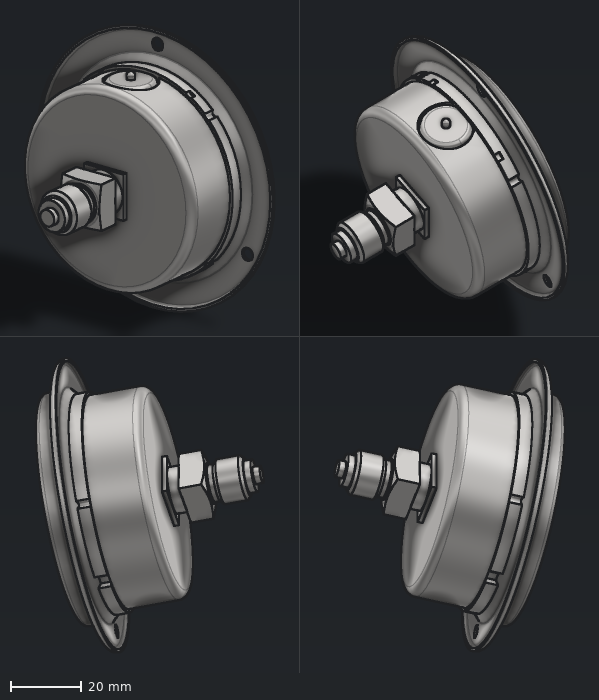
import cadquery as cq
import math


bezel_radius = 67.6 / 2
bezel_front_fillet = 1.4
bezel_rear_fillet = 0.85

flange_radius = 85 / 2
flange_front_depth = 6.4
flange_thickness = 0.85
flange_rim_width = 2.0
flange_outer_fillet = 1.6
mount_hole_diameter = 3.8
mount_hole_circle_radius = 37.5
mount_hole_count = 3

case_radius = 62.0 / 2
case_rear_depth = 30.5
case_rear_fillet = 2.5
collar_radius = 32.0
collar_front_depth = 9.5
collar_rear_depth = 13.35
cone_foot_fillet = 0.3

groove_width = 2.3
groove_depth = 0.5
long_groove_angles = (45, 135, 225, 315)
short_groove_length = 1.8
short_groove_angles = (60, 120)
gap_floor_width = 2.7
gap_top_width = 4.8

plug_depth = 19.5
plug_radius = 7.65
plug_top_height = 30.8
plug_fillet = 1.5
plug_pocket_radius = 8.1
plug_pocket_floor_height = 28.5
pin_radius = 2.5 / 2
pin_straight_length = 1.0

square_width = 14.1
plate_rear_depth = 32.0
neck_radius = 13.5 / 2
square_front_depth = 35.45
square_rear_depth = 42.9
square_face_radius = 7.0
square_chamfer_slope = 0.3
relief_radius = 11.0 / 2
relief_chamfer = 0.4
relief_rear_depth = 45.0
thread_radius = 13.2 / 2
thread_rear_depth = 53.8
thread_chamfer = thread_radius - relief_radius
spigot_radius = 9.5 / 2
spigot_rear_depth = 55.9
tip_radius = 5.0 / 2
total_depth = 58.0


def turned(*profile):
    """Solid of revolution about Y from (radius, depth) points."""
    points = [(radius, -depth) for radius, depth in profile]
    return cq.Workplane("XY").polyline(points).close().revolve(360, (0, 0), (0, 1))


def disc(radius, front_depth, rear_depth):
    """Cylinder on the gauge axis between two depths."""
    return turned((0, front_depth), (radius, front_depth), (radius, rear_depth), (0, rear_depth))


def square_block(front_depth, rear_depth):
    """Square bar on the gauge axis between two depths."""
    return (
        cq.Workplane("XZ", origin=(0, -front_depth, 0))
        .rect(square_width, square_width)
        .extrude(rear_depth - front_depth)
    )


def around_axis(radius, angle):
    """X and Z of a point at a radius and angle about the gauge axis."""
    return radius * math.cos(math.radians(angle)), radius * math.sin(math.radians(angle))


def make_bezel():
    bezel = disc(bezel_radius, 0, flange_front_depth)
    bezel = bezel.faces(">Y").edges().fillet(bezel_front_fillet)
    return bezel.faces("<Y").edges().fillet(bezel_rear_fillet)


def make_flange():
    rim_rear_depth = flange_front_depth + flange_rim_width
    web_rear_depth = flange_front_depth + flange_thickness
    recess_radius = flange_radius - flange_thickness
    flange = disc(flange_radius, flange_front_depth, rim_rear_depth)
    flange = flange.faces(">Y").edges().fillet(flange_outer_fillet)
    recess = disc(recess_radius, web_rear_depth, rim_rear_depth)
    recess = recess.faces(">Y").edges().fillet(flange_outer_fillet - flange_thickness)
    hole_angles = [90 + 360 / mount_hole_count * i for i in range(mount_hole_count)]
    holes = (
        cq.Workplane("XZ")
        .pushPoints([around_axis(mount_hole_circle_radius, angle) for angle in hole_angles])
        .circle(mount_hole_diameter / 2)
        .extrude(rim_rear_depth)
    )
    return flange.cut(recess).cut(holes)


def make_case():
    case = disc(case_radius, flange_front_depth, case_rear_depth)
    case = case.faces("<Y").edges().fillet(case_rear_fillet)
    pocket = (
        cq.Workplane("XY", origin=(0, -plug_depth, plug_pocket_floor_height))
        .circle(plug_pocket_radius)
        .extrude(case_radius)
    )
    return case.cut(pocket)


def make_cone():
    """45-degree cone from the flange, running inward under the collar down to the case."""
    front_depth = flange_front_depth + flange_thickness
    front_radius = collar_radius + collar_front_depth - front_depth
    case_meeting_depth = front_depth + front_radius - case_radius
    return turned(
        (0, front_depth),
        (front_radius, front_depth),
        (case_radius, case_meeting_depth),
        (0, case_meeting_depth),
    )


def make_flange_with_cone():
    flange = make_flange().union(make_cone())
    return flange.faces("%CONE").edges(">Y").fillet(cone_foot_fillet)


def make_collar():
    collar = disc(collar_radius, collar_front_depth, collar_rear_depth)
    collar_length = collar_rear_depth - collar_front_depth
    rear_plane = cq.Workplane("XZ", origin=(0, -collar_rear_depth, 0))

    groove_radius = (groove_width**2 / 4 + groove_depth**2) / (2 * groove_depth)
    groove_center_radius = collar_radius - groove_depth + groove_radius
    groove_sets = (
        (long_groove_angles, collar_length),
        (short_groove_angles, short_groove_length),
    )
    for angles, length in groove_sets:
        centers = [around_axis(groove_center_radius, angle) for angle in angles]
        collar = collar.cut(rear_plane.pushPoints(centers).circle(groove_radius).extrude(-length))

    gap = (
        rear_plane.moveTo(-gap_floor_width / 2, -case_radius)
        .lineTo(gap_floor_width / 2, -case_radius)
        .lineTo(gap_top_width / 2, -collar_radius)
        .lineTo(-gap_top_width / 2, -collar_radius)
        .close()
        .extrude(-collar_length)
    )
    return collar.cut(gap)


def make_plug():
    plug = (
        cq.Workplane("XY", origin=(0, -plug_depth, 0))
        .circle(plug_radius)
        .extrude(plug_top_height)
        .faces(">Z")
        .edges()
        .fillet(plug_fillet)
    )
    pin_shoulder_height = plug_top_height + pin_straight_length
    pin = (
        cq.Workplane("XY", origin=(0, -plug_depth, plug_top_height))
        .circle(pin_radius)
        .extrude(pin_straight_length)
    )
    pin_dome = cq.Workplane("XY", origin=(0, -plug_depth, pin_shoulder_height)).sphere(pin_radius)
    return plug.union(pin).union(pin_dome)


def make_wrench_square():
    """Square for the wrench, its rear corners turned off to a shallow cone."""
    square = square_block(square_front_depth, square_rear_depth)
    length = square_rear_depth - square_front_depth
    envelope_radius = square_face_radius + length / square_chamfer_slope
    envelope = turned(
        (0, square_front_depth),
        (envelope_radius, square_front_depth),
        (square_face_radius, square_rear_depth),
        (0, square_rear_depth),
    )
    return square.intersect(envelope)


def make_stem():
    plate = square_block(case_rear_depth, plate_rear_depth)
    neck = disc(neck_radius, plate_rear_depth, square_front_depth)
    connection = turned(
        (0, square_rear_depth),
        (relief_radius + relief_chamfer, square_rear_depth),
        (relief_radius, square_rear_depth + relief_chamfer),
        (relief_radius, relief_rear_depth),
        (thread_radius, relief_rear_depth + thread_chamfer),
        (thread_radius, thread_rear_depth - thread_chamfer),
        (thread_radius - thread_chamfer, thread_rear_depth),
        (spigot_radius, thread_rear_depth),
        (spigot_radius, spigot_rear_depth),
        (tip_radius, spigot_rear_depth),
        (tip_radius, total_depth),
        (0, total_depth),
    )
    return plate.union(neck).union(make_wrench_square()).union(connection)


result = (
    make_case()
    .union(make_plug())
    .union(make_flange_with_cone())
    .union(make_collar())
    .union(make_bezel())
    .union(make_stem())
)